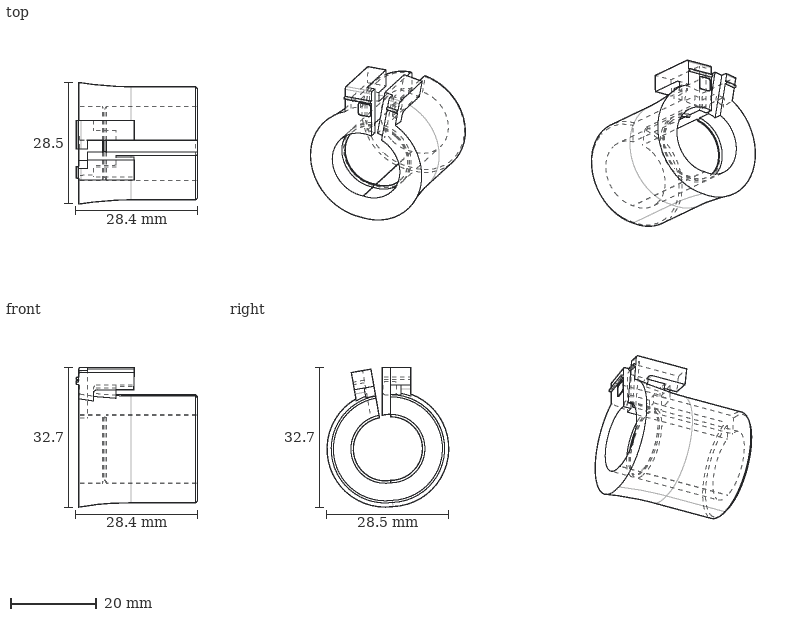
import cadquery as cq
import math

length = 27.8
barrel_radius = 12.6
flare_radius = 13.6
flare_length = 12.25
bore_radius = 8.0
rear_chamfer = 0.5

rib_radius = 7.4
rib_start = 5.5
rib_end = 6.5
rib_crest_start = 5.8
rib_crest_end = 6.15

opening_angle = 10.0
hinge_depth = 7.5

arm_length = 13.0
arm_end_setback = 0.1
arm_width = 4.7
arm_top = 19.0
arm_root_z = (bore_radius + barrel_radius) / 2
arm_underside = 14.9
arm_edge_fillet = 0.5
leg_length = 3.4
leg_fillet = 1.0
web_length = 8.75
web_width = 2.35

tab_length = 2.0
tab_width = 2.0

bead_height = 0.6
bead_reach = 0.6
bead_center_z = 16.4

panel_size = 3.1
panel_corner = 0.5
panel_depth = 0.2
panel_center_y = -0.2
panel_center_z = 14.1


def block(x_range, y_range, z_range):
    """Box spanning the given coordinate ranges."""
    (x0, x1), (y0, y1), (z0, z1) = x_range, y_range, z_range
    size = (x1 - x0, y1 - y0, z1 - z0)
    return cq.Workplane("XY").box(*size, centered=False).translate((x0, y0, z0))


def full_sleeve():
    """Flared tube with the rib in its bore, revolved about the X axis."""
    flare_rise = flare_radius - barrel_radius
    arc_radius = (flare_length**2 + flare_rise**2) / (2 * flare_rise)
    mid_x = flare_length / 2
    arc_drop = math.sqrt(arc_radius**2 - (flare_length - mid_x) ** 2)
    mid_radius = barrel_radius + arc_radius - arc_drop
    profile = (
        cq.Workplane("XY")
        .moveTo(0, bore_radius)
        .lineTo(0, flare_radius)
        .threePointArc((mid_x, mid_radius), (flare_length, barrel_radius))
        .lineTo(length - rear_chamfer, barrel_radius)
        .lineTo(length, barrel_radius - rear_chamfer)
        .lineTo(length, bore_radius)
        .lineTo(rib_end, bore_radius)
        .lineTo(rib_crest_end, rib_radius)
        .lineTo(rib_crest_start, rib_radius)
        .lineTo(rib_start, bore_radius)
        .close()
    )
    return profile.revolve(360, (0, 0, 0), (1, 0, 0))


def half_sleeve():
    """Half of the sleeve on the +Y side of the seam plane."""
    side = block((0, length), (0, flare_radius), (-flare_radius, flare_radius))
    return full_sleeve().intersect(side)


def beam(first_y, last_y):
    """Arm on its front leg, from inside the sleeve wall up to the arm top."""
    inset = 1 - math.cos(math.pi / 4)
    edge_inset = arm_edge_fillet * inset
    leg_inset = leg_fillet * inset
    profile = (
        cq.Workplane("XZ")
        .moveTo(0, arm_root_z)
        .lineTo(0, arm_top - arm_edge_fillet)
        .threePointArc((edge_inset, arm_top - edge_inset), (arm_edge_fillet, arm_top))
        .lineTo(arm_length, arm_top)
        .lineTo(arm_length - arm_end_setback, arm_underside)
        .lineTo(leg_length + leg_fillet, arm_underside)
        .threePointArc(
            (leg_length + leg_inset, arm_underside - leg_inset),
            (leg_length, arm_underside - leg_fillet),
        )
        .lineTo(leg_length, arm_root_z)
        .close()
    )
    return profile.extrude(first_y - last_y).translate((0, first_y, 0))


def web():
    """Rib under the arm, along the seam plane."""
    return block((0, web_length), (0, web_width), (arm_root_z, arm_underside))


def bead(first_y, last_y):
    """Round-nosed bead across the front of an arm."""
    nose = bead_height / 2
    start_x = nose - bead_reach
    profile = (
        cq.Workplane("XZ")
        .moveTo(0, bead_center_z - nose)
        .lineTo(start_x, bead_center_z - nose)
        .threePointArc((-bead_reach, bead_center_z), (start_x, bead_center_z + nose))
        .lineTo(0, bead_center_z + nose)
        .close()
    )
    return profile.extrude(first_y - last_y).translate((0, first_y, 0))


def tab():
    """Front tab that reaches past the seam plane, from the bore to the arm top."""
    wall = block((0, tab_length), (-tab_width, 0), (0, arm_underside))
    bore = cq.Workplane("YZ").circle(bore_radius).extrude(tab_length)
    head = beam(-tab_width, 0).intersect(
        block((0, tab_length), (-tab_width, 0), (0, arm_top))
    )
    return wall.cut(bore).union(head)


def label_panel():
    """Shallow recess with rounded corners in the front of the first arm."""
    panel = block(
        (0, panel_depth),
        (panel_center_y - panel_size / 2, panel_center_y + panel_size / 2),
        (panel_center_z - panel_size / 2, panel_center_z + panel_size / 2),
    )
    return panel.edges("|X").fillet(panel_corner)


def tabbed_half():
    """Fixed half of the ring, with the tab and the label panel."""
    half = half_sleeve().union(beam(0, arm_width)).union(web()).union(tab())
    return half.union(bead(-tab_width, arm_width)).cut(label_panel())


def notched_half():
    """Mating half of the ring, swung open about the hinge line."""
    notch = block((0, tab_length), (0, tab_width), (0, arm_top))
    half = half_sleeve().union(beam(0, arm_width)).union(web()).cut(notch)
    half = half.union(bead(tab_width, arm_width)).mirror("XZ")
    return half.rotate((0, 0, -hinge_depth), (1, 0, -hinge_depth), opening_angle)


result = tabbed_half().union(notched_half())